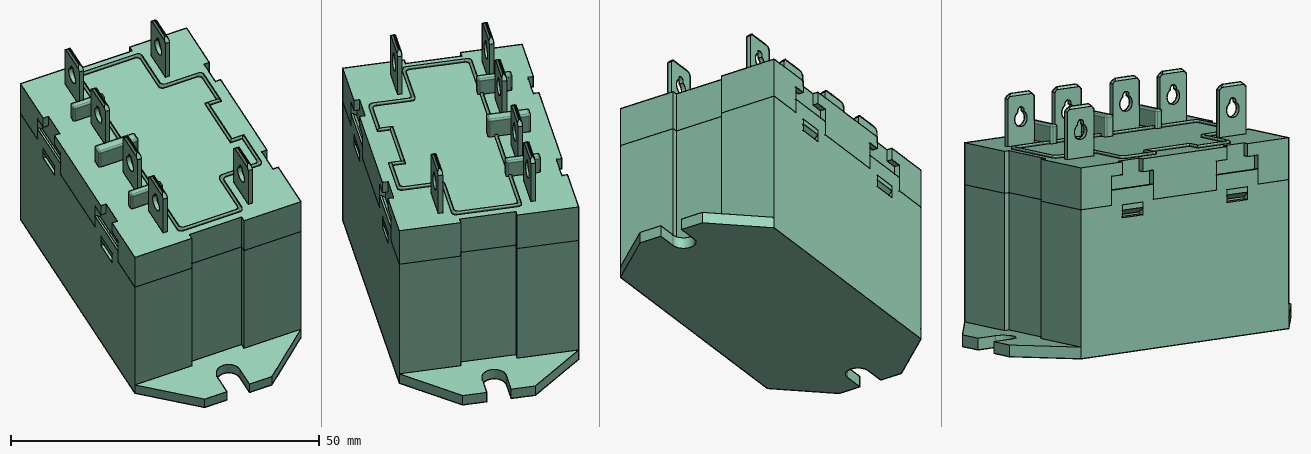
import cadquery as cq


CASE_LENGTH = 43.6
CASE_WIDTH = 29.8
CASE_TOP = 31.5
SEAM_Z = 24.6
GROOVE_WIDTH = 9.35
GROOVE_DEPTH = 0.95

FLANGE_LENGTH = 59.1
FLANGE_END_WIDTH = 12.05
FLANGE_THICKNESS = 1.95
SLOT_RADIUS = 2.0
SLOT_DEPTH = 5.7

SNAP_X = 11.0
TAB_WIDTH = 8.75
TAB_THICKNESS = 0.95
TAB_TOP = 27.05
TAB_CHAMFER = 0.6
SHOULDER_Z = 29.35
ARM_WIDTH = 4.3
ARM_THICKNESS = TAB_THICKNESS
WINDOW_TOP = 24.4
WINDOW_BOTTOM = 22.3
HOOK_NOSE_Z = 23.5
HOOK_SLOPE_HEIGHT = 0.9
ARM_BOTTOM = HOOK_NOSE_Z - HOOK_SLOPE_HEIGHT

WALL_Y = -CASE_WIDTH / 2
TAB_INNER_Y = WALL_Y + TAB_THICKNESS
ARM_INNER_Y = TAB_INNER_Y + ARM_THICKNESS

BEAD_WIDTH = 0.55
BEAD_HEIGHT = 0.4
BEAD_ROUND = 0.26
BEAD_CORNER_RADIUS = 0.7
BEAD_HALF_LENGTH = 19.7
BEAD_FRONT_Y = -5.95
BEAD_SHOULDER_Y = 5.6
BEAD_BACK_Y = 12.9
BEAD_NECK_HALF = 11.5
BEAD_NOTCH_HALF = 4.3
BEAD_NOTCH_Y = 10.75

RIB_ROUND = 0.3
SIDE_RIB = dict(width=1.3, front=-10.75, back=-5.1, height=3.1)
CENTRE_RIB = dict(width=1.8, front=-11.45, back=-4.4, height=3.5)

BLADE_WIDTH = 5.55
BLADE_THICKNESS = 0.75
BLADE_TOP = 40.1
BLADE_CORNER = 0.8
TIP_HEIGHT = 0.4
TIP_THICKNESS = 0.2
EYE_Z = 35.8
EYE_RADIUS = 1.3
KEY_RADIUS = 0.65
KEY_Z = EYE_Z + EYE_RADIUS
FRONT_ROW_Y = -8.0
TERMINAL_PLACES = [
    (-16.0, FRONT_ROW_Y),
    (-6.1, FRONT_ROW_Y),
    (6.1, FRONT_ROW_Y),
    (15.95, FRONT_ROW_Y),
    (-15.9, 7.4),
    (15.95, 7.25),
]


def block(x_size, y_range, z_range, x_centre=0):
    """Box centred on x_centre that spans the given Y and Z ranges."""
    size = (x_size, y_range[1] - y_range[0], z_range[1] - z_range[0])
    corner = (x_centre - x_size / 2, y_range[0], z_range[0])
    return cq.Workplane("XY").box(*size, centered=False).translate(corner)


def side_profile(points, width):
    """Outline in (Y, Z) extruded along X, symmetric about X = 0."""
    return cq.Workplane("YZ").polyline(points).close().extrude(width / 2, both=True)


def at_snaps(snap):
    """Four copies of a snap shape made for the -Y wall at X = 0."""
    opposite = snap.rotate((0, 0, 0), (0, 0, 1), 180)
    return [shape.translate((x, 0, 0)) for x in (-SNAP_X, SNAP_X) for shape in (snap, opposite)]


def case_block(bottom, top):
    """Slice of the case, with the groove in each end wall."""
    half = CASE_WIDTH / 2
    case = block(CASE_LENGTH, (-half, half), (bottom, top))
    for side in (-1, 1):
        groove = block(
            2 * GROOVE_DEPTH,
            (-GROOVE_WIDTH / 2, GROOVE_WIDTH / 2),
            (bottom, top),
            side * CASE_LENGTH / 2,
        )
        case = case.cut(groove)
    return case


def snap_tab():
    """Upright tab of the base, chamfered on its inner top edge."""
    return side_profile(
        [
            (WALL_Y, SEAM_Z),
            (WALL_Y, TAB_TOP),
            (TAB_INNER_Y - TAB_CHAMFER, TAB_TOP),
            (TAB_INNER_Y, TAB_TOP - TAB_CHAMFER),
            (TAB_INNER_Y, SEAM_Z),
        ],
        TAB_WIDTH,
    )


def snap_window():
    """Opening in the base for the hook, with the slot behind it for the arm."""
    window = block(ARM_WIDTH, (WALL_Y, TAB_INNER_Y), (WINDOW_BOTTOM, WINDOW_TOP))
    arm_slot = block(ARM_WIDTH, (TAB_INNER_Y, ARM_INNER_Y), (ARM_BOTTOM, SEAM_Z))
    return window.union(arm_slot)


def snap_recess():
    """T-shaped recess in the cover that clears the tab."""
    depth = (WALL_Y, TAB_INNER_Y)
    wide_part = block(TAB_WIDTH, depth, (SEAM_Z, SHOULDER_Z))
    narrow_part = block(ARM_WIDTH, depth, (SHOULDER_Z, CASE_TOP))
    return wide_part.union(narrow_part)


def snap_arm():
    """Arm under the cover, with a hook that fills the upper part of the window."""
    return side_profile(
        [
            (ARM_INNER_Y, SEAM_Z),
            (TAB_INNER_Y, SEAM_Z),
            (TAB_INNER_Y, WINDOW_TOP),
            (WALL_Y, WINDOW_TOP),
            (WALL_Y, HOOK_NOSE_Z),
            (TAB_INNER_Y, ARM_BOTTOM),
            (ARM_INNER_Y, ARM_BOTTOM),
        ],
        ARM_WIDTH,
    )


def flange():
    """Six-sided plate with an open slot in each end."""
    end_x = FLANGE_LENGTH / 2
    end_y = FLANGE_END_WIDTH / 2
    case_x = CASE_LENGTH / 2
    case_y = CASE_WIDTH / 2
    outline = [
        (-end_x, -end_y),
        (-case_x, -case_y),
        (case_x, -case_y),
        (end_x, -end_y),
        (end_x, end_y),
        (case_x, case_y),
        (-case_x, case_y),
        (-end_x, end_y),
    ]
    plate = cq.Workplane("XY").polyline(outline).close().extrude(FLANGE_THICKNESS)
    slots = (
        cq.Workplane("XY")
        .pushPoints([(-end_x, 0), (end_x, 0)])
        .slot2D(2 * SLOT_DEPTH, 2 * SLOT_RADIUS)
        .extrude(FLANGE_THICKNESS)
    )
    return plate.cut(slots)


def make_base():
    base = flange().union(case_block(FLANGE_THICKNESS, SEAM_Z))
    for tab in at_snaps(snap_tab()):
        base = base.union(tab)
    for window in at_snaps(snap_window()):
        base = base.cut(window)
    return base


def bead_area(inset):
    """Area inside the bead's outline, drawn in by inset and raised from the cover's top."""
    length = BEAD_HALF_LENGTH - inset
    neck = BEAD_NECK_HALF - inset
    notch = BEAD_NOTCH_HALF + inset
    front = BEAD_FRONT_Y + inset
    shoulder = BEAD_SHOULDER_Y - inset
    back = BEAD_BACK_Y - inset
    notch_y = BEAD_NOTCH_Y - inset
    outline = [
        (-length, front),
        (length, front),
        (length, shoulder),
        (neck, shoulder),
        (neck, back),
        (notch, back),
        (notch, notch_y),
        (-notch, notch_y),
        (-notch, back),
        (-neck, back),
        (-neck, shoulder),
        (-length, shoulder),
    ]
    area = cq.Workplane("XY").workplane(offset=CASE_TOP).polyline(outline).close().extrude(BEAD_HEIGHT)
    notch_corners = cq.selectors.BoxSelector(
        (-notch - BEAD_WIDTH, notch_y - BEAD_WIDTH, CASE_TOP),
        (notch + BEAD_WIDTH, back + BEAD_WIDTH, CASE_TOP + BEAD_HEIGHT),
    )
    upright_edges = cq.selectors.ParallelDirSelector(cq.Vector(0, 0, 1))
    return area.edges(upright_edges - notch_corners).fillet(BEAD_CORNER_RADIUS)


def bead():
    """Closed raised bead with a rounded crest."""
    ring = bead_area(inset=0).cut(bead_area(inset=BEAD_WIDTH))
    return ring.faces(">Z").edges().fillet(BEAD_ROUND)


def rib(x, width, front, back, height):
    """Barrier rib with rounded top and upright edges."""
    wall = block(width, (front, back), (CASE_TOP, CASE_TOP + height), x)
    return wall.edges("|Z or >Z").fillet(RIB_ROUND)


def make_cover():
    cover = case_block(SEAM_Z, CASE_TOP)
    for recess in at_snaps(snap_recess()):
        cover = cover.cut(recess)
    for arm in at_snaps(snap_arm()):
        cover = cover.union(arm)
    cover = cover.union(bead())
    for x in (-SNAP_X, SNAP_X):
        cover = cover.union(rib(x, **SIDE_RIB))
    return cover.union(rib(0, **CENTRE_RIB))


def make_terminal(x, y):
    """Blade standing on the cover, with bevelled tip, cut corners and a keyhole."""
    half = BLADE_THICKNESS / 2
    tip_half = TIP_THICKNESS / 2
    bevel_z = BLADE_TOP - TIP_HEIGHT
    blade = side_profile(
        [
            (-half, CASE_TOP),
            (half, CASE_TOP),
            (half, bevel_z),
            (tip_half, BLADE_TOP),
            (-tip_half, BLADE_TOP),
            (-half, bevel_z),
        ],
        BLADE_WIDTH,
    )
    edge_x = BLADE_WIDTH / 2
    corner_z = BLADE_TOP - BLADE_CORNER
    blade_outline = [
        (-edge_x, CASE_TOP),
        (edge_x, CASE_TOP),
        (edge_x, corner_z),
        (edge_x - BLADE_CORNER, BLADE_TOP),
        (BLADE_CORNER - edge_x, BLADE_TOP),
        (-edge_x, corner_z),
    ]
    blade = blade.intersect(
        cq.Workplane("XZ").polyline(blade_outline).close().extrude(half, both=True)
    )
    for z, radius in ((EYE_Z, EYE_RADIUS), (KEY_Z, KEY_RADIUS)):
        blade = blade.cut(cq.Workplane("XZ").center(0, z).circle(radius).extrude(half, both=True))
    return blade.translate((x, y, 0))


base = make_base()
cover = make_cover()
terminals = [make_terminal(x, y) for x, y in TERMINAL_PLACES]

result = cq.Compound.makeCompound(
    [base.val(), cover.val(), *[terminal.val() for terminal in terminals]]
)